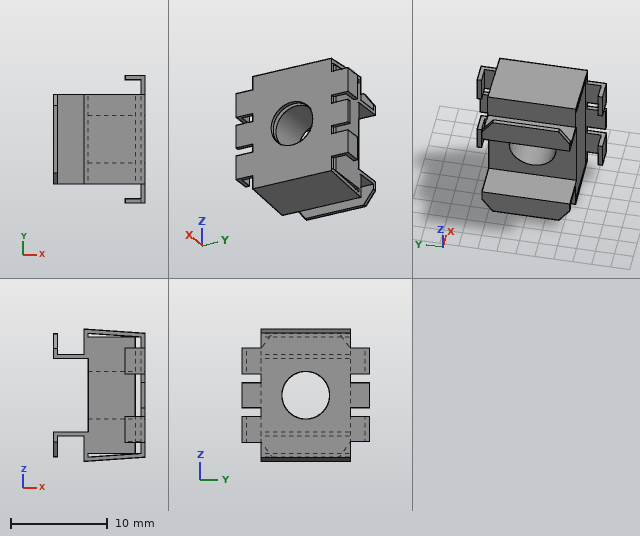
import cadquery as cq

depth = 9.5
height = 13.7
cage_width = 9.26
sheet = 0.44

wall_x = 3.15
back_half_height = 6.41
clip_z = 3.8
clip_tip_z = 6.35
clip_corner_y = 1.15
clip_corner_z = 1.55

core_height = 12.05
core_back_x = 8.47
bore_diameter = 4.9

terminal_span = 13.2
terminal_lip_depth = 2.07
terminal_lip_thickness = 0.47
terminal_inner_z = 2.19
terminal_outer_z = 4.9
short_terminal_outer_z = 4.78
centre_terminal_height = 2.59

half_height = height / 2
core_x = wall_x + sheet
back_x = depth - sheet


def block(x_range, y_range, z_range):
    """Axis-aligned box between two limits on each axis."""
    sizes = [end - start for start, end in (x_range, y_range, z_range)]
    corner = (x_range[0], y_range[0], z_range[0])
    return cq.Workplane("XY").box(*sizes, centered=False).translate(corner)


def make_cage():
    """Closed band of sheet with tapered top and bottom walls, its front wall open between the clips."""
    slope = (half_height - back_half_height) / (depth - wall_x)
    inner_front_z = half_height - sheet - slope * (core_x - wall_x)
    inner_back_z = back_half_height - sheet + slope * sheet
    outer = [
        (wall_x, -half_height),
        (depth, -back_half_height),
        (depth, back_half_height),
        (wall_x, half_height),
    ]
    inner = [
        (core_x, -inner_front_z),
        (back_x, -inner_back_z),
        (back_x, inner_back_z),
        (core_x, inner_front_z),
    ]
    band = cq.Workplane("XZ").polyline(outer).close().polyline(inner).close()
    band = band.extrude(cage_width / 2, both=True)
    window = cq.Workplane("XY").box(2 * core_x, cage_width, 2 * clip_z)
    return band.cut(window)


def make_upper_clip():
    """Arm reaching forward from the front wall, with a cornered upturned lip."""
    half_width = cage_width / 2
    width_range = (-half_width, half_width)
    arm = block((0, core_x), width_range, (clip_z, clip_z + sheet))
    lip_outline = [
        (-half_width, clip_z),
        (half_width, clip_z),
        (half_width, clip_tip_z - clip_corner_z),
        (half_width - clip_corner_y, clip_tip_z),
        (clip_corner_y - half_width, clip_tip_z),
        (-half_width, clip_tip_z - clip_corner_z),
    ]
    lip = cq.Workplane("YZ").polyline(lip_outline).close().extrude(sheet)
    return arm.union(lip)


def make_bent_terminal(side, z_range):
    """Tab leaving the back plate sideways and bent forward; side is +1 or -1 in Y."""
    tip = terminal_span / 2
    tab = block((back_x, depth), (0, tip), z_range)
    lip = block((depth - terminal_lip_depth, depth), (tip - terminal_lip_thickness, tip), z_range)
    terminal = tab.union(lip)
    return terminal if side > 0 else terminal.mirror("XZ")


core = cq.Workplane("XY").box(core_back_x - core_x, cage_width, core_height)
core = core.translate(((core_x + core_back_x) / 2, 0, 0))
result = make_cage().union(core)

upper_clip = make_upper_clip()
result = result.union(upper_clip).union(upper_clip.mirror("XY"))

for side, lower_outer_z in ((-1, terminal_outer_z), (1, short_terminal_outer_z)):
    result = result.union(make_bent_terminal(side, (terminal_inner_z, terminal_outer_z)))
    result = result.union(make_bent_terminal(side, (-lower_outer_z, -terminal_inner_z)))

centre_terminal = cq.Workplane("XY").box(sheet, terminal_span, centre_terminal_height)
result = result.union(centre_terminal.translate((depth - sheet / 2, 0, 0)))

bore = cq.Workplane("YZ").circle(bore_diameter / 2).extrude(depth)
result = result.cut(bore)